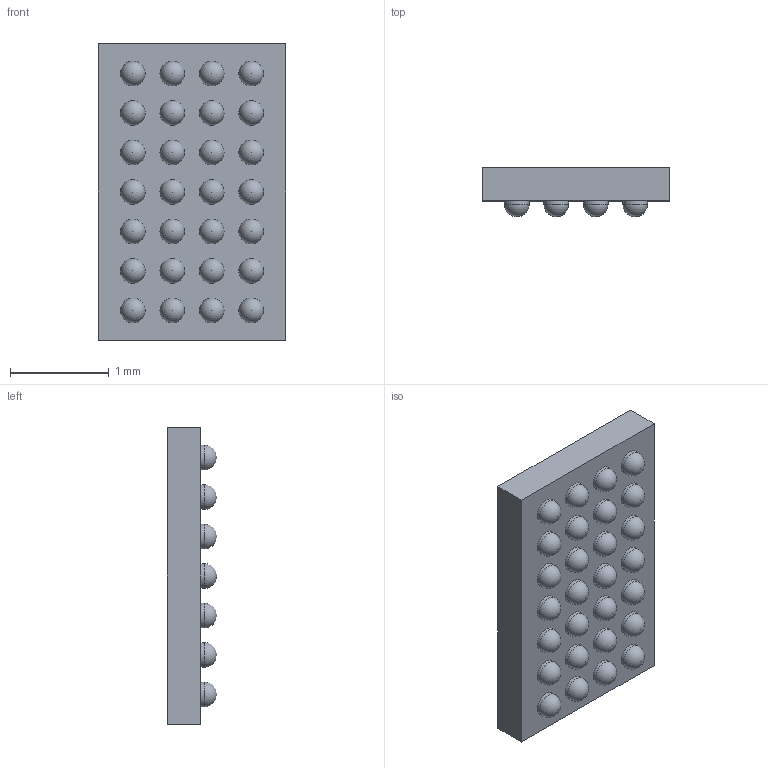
import cadquery as cq

body_width = 1.9
body_height = 3.0
total_depth = 0.5

ball_diameter = 0.25
neck_length = 0.035
ball_pitch = 0.4
ball_columns = 4
ball_rows = 7

ball_radius = ball_diameter / 2
ball_standoff = neck_length + ball_radius
body_depth = total_depth - ball_standoff



def make_body():
    """Slab behind the ball face."""
    return cq.Workplane("XZ").rect(body_width, body_height).extrude(-body_depth)


def ball_grid(standoff):
    """Centred grid of ball positions at a given distance in front of the ball face."""
    plane = cq.Workplane("XZ", origin=(0, -standoff, 0))
    return plane.rarray(ball_pitch, ball_pitch, ball_columns, ball_rows)


def make_balls():
    """Necks standing on the ball face, each with a hemispherical tip."""
    necks = ball_grid(0).circle(ball_radius).extrude(neck_length)
    tips = ball_grid(neck_length).sphere(ball_radius, angle1=0, angle2=90, combine=False)
    return necks.union(tips)


result = make_body().union(make_balls())